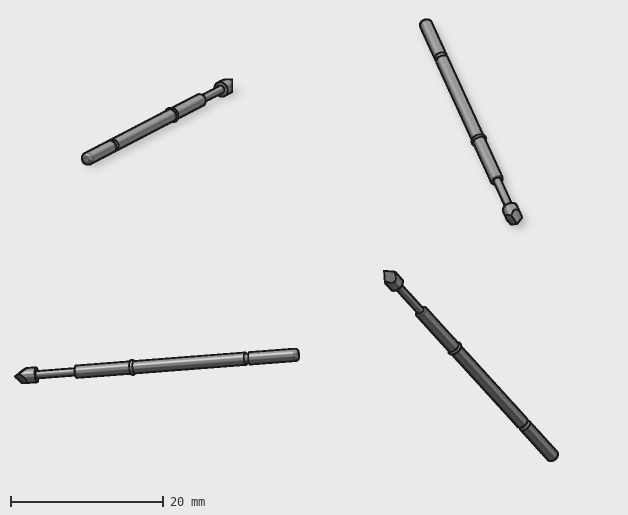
import cadquery as cq
import math


total_length = 38.7
tip_y = total_length / 2
tail_y = -total_length / 2

head_radius = 2.0 / 2
head_length = 2.98
facet_angle = 30.0
facet_count = 3
stem_radius = 1.0 / 2

barrel_radius = 1.65 / 2
barrel_front_y = 11.0
mouth_rounding = 0.1
tail_rounding = 0.43

collar_radius = head_radius
collar_front_y = 3.52
collar_width = 0.45

groove_front_y = -12.15
groove_width = 0.58
groove_depth = 0.2


def disc_along_y(radius, start_y, end_y):
    """Cylinder on the probe axis between two stations."""
    return (
        cq.Workplane("XZ", origin=(0, start_y, 0))
        .circle(radius)
        .extrude(start_y - end_y)
    )


def rounded_ring(front_y, width, mid_radius):
    """Ring on the barrel surface, closed by an arc that passes through mid_radius."""
    back_y = front_y - width
    return (
        cq.Workplane("XY")
        .moveTo(barrel_radius, front_y)
        .threePointArc((mid_radius, (front_y + back_y) / 2), (barrel_radius, back_y))
        .close()
        .revolve(360, (0, 0, 0), (0, 1, 0))
    )


def make_head():
    """Cylinder sharpened to a point by equally spaced flat facets."""
    head = disc_along_y(head_radius, tip_y - head_length, tip_y)
    facet_length = head_radius / math.tan(math.radians(facet_angle))
    reach = 2
    cutter = (
        cq.Workplane("XY")
        .polyline([
            (0, tip_y),
            (reach * head_radius, tip_y - reach * facet_length),
            (reach * head_radius, tip_y),
        ])
        .close()
        .extrude(reach * head_radius, both=True)
    )
    for index in range(facet_count):
        turn = index * 360 / facet_count
        head = head.cut(cutter.rotate((0, 0, 0), (0, 1, 0), turn))
    return head


def make_barrel():
    """Tube body with rounded ends, a raised collar and a crimp groove."""
    barrel = (
        disc_along_y(barrel_radius, tail_y, barrel_front_y)
        .faces(">Y").edges().fillet(mouth_rounding)
        .faces("<Y").edges().fillet(tail_rounding)
    )
    collar = rounded_ring(collar_front_y, collar_width, collar_radius)
    collar = collar.union(disc_along_y(barrel_radius, collar_front_y - collar_width, collar_front_y))
    groove = rounded_ring(groove_front_y, groove_width, barrel_radius - groove_depth)
    return barrel.union(collar).cut(groove)


stem = disc_along_y(stem_radius, barrel_front_y, tip_y - head_length)
result = make_barrel().union(stem).union(make_head())